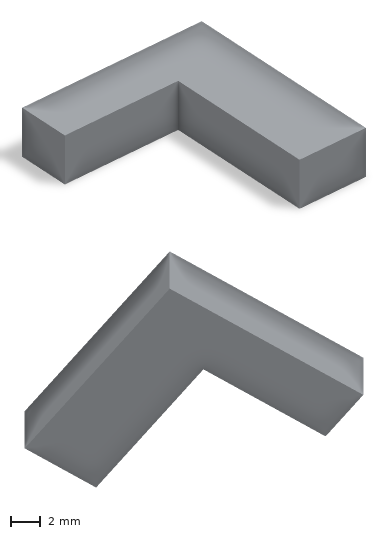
import cadquery as cq
import math

overall_x = 22.25
thickness = 4.0
turn_angle = 25.3
short_arm_length = 16.05
short_arm_width = 4.43
long_arm_width = 5.92

turn = math.radians(turn_angle)
long_arm_length = (overall_x - short_arm_length * math.sin(turn)) / math.cos(turn)

outline = [
    (0, 0),
    (long_arm_length, 0),
    (long_arm_length, -long_arm_width),
    (short_arm_width, -long_arm_width),
    (short_arm_width, -short_arm_length),
    (0, -short_arm_length),
]

bracket = cq.Workplane("XY").polyline(outline).close().extrude(thickness)
result = bracket.rotate((0, 0, 0), (0, 0, 1), -turn_angle)